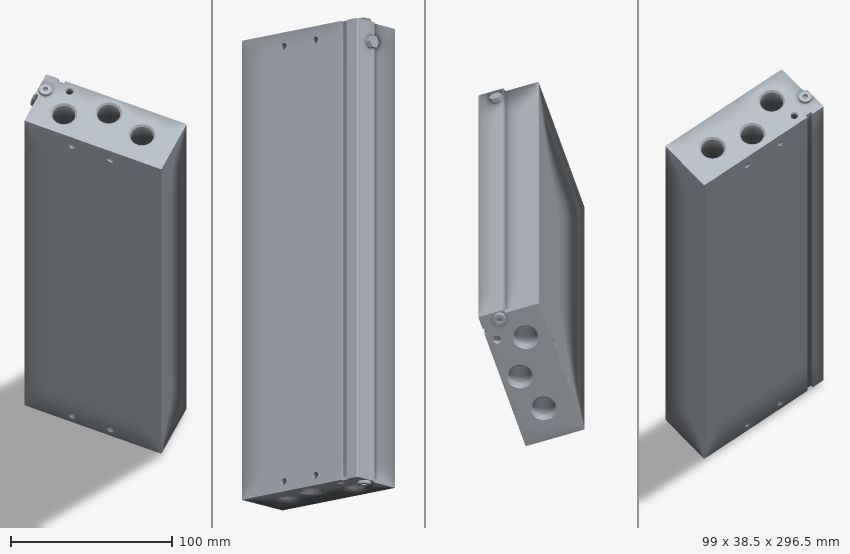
import cadquery as cq
import math

TOTAL_LENGTH = 296.5
TOTAL_WIDTH = 99.0
DEPTH = 38.5

FITTING_Y = -12.2
PLUG_X = 8.5
PLUG_DIAMETER = 8.3
PLUG_HEIGHT = 2.0
PLUG_CHAMFER = 0.3
SOCKET_DIAMETER = 3.3
SOCKET_DEPTH = 1.5

HOUSING_BOTTOM = PLUG_HEIGHT
HOUSING_TOP = TOTAL_LENGTH - PLUG_HEIGHT
HOUSING_LENGTH = HOUSING_TOP - HOUSING_BOTTOM
OUTER_FILLET = 0.5

HEAD_FLATS = 7.0
HEAD_LENGTH = 2.7
COLLAR_DIAMETER = 7.7
COLLAR_THICKNESS = 1.0
SCREW_Z = HOUSING_TOP - 13.5

LEFT_X = HEAD_LENGTH + COLLAR_THICKNESS
STEP_SETBACK = 2.5
STEP_Y = -16.3
STEP_SLOPE_ANGLE = 20.0
STEP_FILLET = 1.0

SLOT_WIDTH = 4.2
SLOT_DEPTH = 1.8
SLOT_X = 14.5

BORE_CENTRES = [(26.0, -23.7), (51.3, -12.0), (77.0, -19.0)]
BORE_DIAMETER = 14.2
BORE_CHAMFER = 1.2
SMALL_HOLE_CENTRE = (22.2, -6.2)
SMALL_HOLE_DIAMETER = 4.2
SMALL_HOLE_CHAMFER = 0.5

MOUNT_DIAMETER = 4.5
MOUNT_X = [38.2, 64.3]
MOUNT_HEIGHTS = [HOUSING_BOTTOM + 6.2, HOUSING_TOP - 9.0]


def cross_section_corners():
    """Corners of the block's outline, stepped on its left side."""
    front_left_x = LEFT_X + STEP_SETBACK
    step_drop = STEP_SETBACK * math.tan(math.radians(STEP_SLOPE_ANGLE))
    return [
        (LEFT_X, 0),
        (TOTAL_WIDTH, 0),
        (TOTAL_WIDTH, -DEPTH),
        (front_left_x, -DEPTH),
        (front_left_x, STEP_Y - step_drop),
        (LEFT_X, STEP_Y),
    ]


def round_lengthwise_edges(solid, corners, radius):
    """Round the lengthwise edges that pass through the given corners."""
    for x, y in corners:
        nearest = cq.selectors.NearestToPointSelector((x, y, TOTAL_LENGTH / 2))
        solid = solid.edges("|Z").edges(nearest).fillet(radius)
    return solid


def make_block():
    """Stepped block with rounded outer edges and a rounded inner corner at the step."""
    corners = cross_section_corners()
    outer_corners = corners[:4]
    inner_corner = corners[4]
    block = cq.Workplane("XY", origin=(0, 0, HOUSING_BOTTOM)).polyline(corners).close().extrude(HOUSING_LENGTH)
    block = round_lengthwise_edges(block, outer_corners, OUTER_FILLET)
    return round_lengthwise_edges(block, [inner_corner], STEP_FILLET)


def back_slot():
    return (
        cq.Workplane("XY", origin=(SLOT_X, -SLOT_DEPTH / 2, HOUSING_BOTTOM))
        .rect(SLOT_WIDTH, SLOT_DEPTH)
        .extrude(HOUSING_LENGTH)
    )


def mount_holes():
    centres = [(x, z) for x in MOUNT_X for z in MOUNT_HEIGHTS]
    return cq.Workplane("XZ").pushPoints(centres).circle(MOUNT_DIAMETER / 2).extrude(DEPTH)


def lengthwise_hole(centre, diameter, chamfer):
    """Cutting body for a through hole along Z with both mouths chamfered."""
    radius = diameter / 2
    mouth_radius = radius + chamfer
    profile = [
        (0, HOUSING_BOTTOM),
        (mouth_radius, HOUSING_BOTTOM),
        (radius, HOUSING_BOTTOM + chamfer),
        (radius, HOUSING_TOP - chamfer),
        (mouth_radius, HOUSING_TOP),
        (0, HOUSING_TOP),
    ]
    cutter = cq.Workplane("XZ").polyline(profile).close().revolve(360, (0, 0), (0, 1))
    return cutter.translate((*centre, 0))


def make_housing():
    block = make_block().cut(back_slot()).cut(mount_holes())
    for centre in BORE_CENTRES:
        block = block.cut(lengthwise_hole(centre, BORE_DIAMETER, BORE_CHAMFER))
    return block.cut(lengthwise_hole(SMALL_HOLE_CENTRE, SMALL_HOLE_DIAMETER, SMALL_HOLE_CHAMFER))


def make_plug(end_z, outward):
    """Round plug on the housing end at end_z; outward is +1 for the top end, -1 for the bottom."""
    outer_face = ">Z" if outward > 0 else "<Z"
    body = (
        cq.Workplane("XY", origin=(PLUG_X, FITTING_Y, end_z))
        .circle(PLUG_DIAMETER / 2)
        .extrude(outward * PLUG_HEIGHT)
        .faces(outer_face)
        .chamfer(PLUG_CHAMFER)
    )
    socket = (
        cq.Workplane("XY", origin=(PLUG_X, FITTING_Y, end_z + outward * PLUG_HEIGHT))
        .circle(SOCKET_DIAMETER / 2)
        .extrude(-outward * SOCKET_DEPTH)
    )
    return body.cut(socket)


def make_screw():
    """Screw whose collar rests on the left side of the housing, hexagonal head outwards."""
    head_across_corners = HEAD_FLATS / math.cos(math.pi / 6)
    head = (
        cq.Workplane("YZ", origin=(0, FITTING_Y, SCREW_Z))
        .polygon(6, head_across_corners)
        .extrude(HEAD_LENGTH)
    )
    collar = (
        cq.Workplane("YZ", origin=(HEAD_LENGTH, FITTING_Y, SCREW_Z))
        .circle(COLLAR_DIAMETER / 2)
        .extrude(COLLAR_THICKNESS)
    )
    return head.union(collar)


housing = make_housing()
plugs = [make_plug(end_z, outward) for end_z, outward in [(HOUSING_TOP, 1), (HOUSING_BOTTOM, -1)]]
screw = make_screw()

bodies = [housing, *plugs, screw]
result = cq.Compound.makeCompound([body.solids().val() for body in bodies])